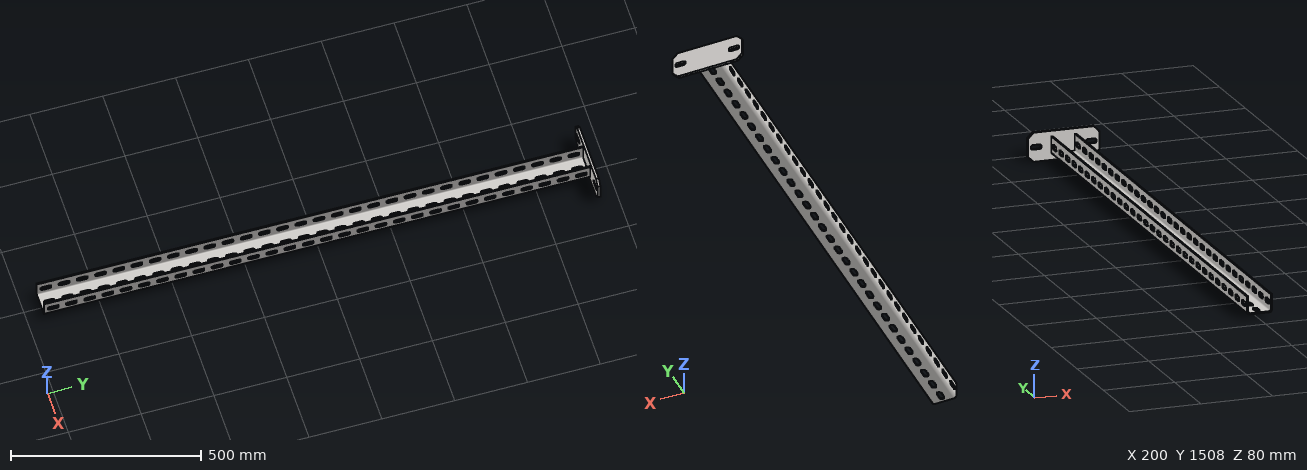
import cadquery as cq

plate_width = 200.0
plate_height = 80.0
plate_thickness = 8.0
plate_corner_cut = 15.0
plate_slot_spacing = 154.0

channel_length = 1500.0
channel_width = 70.0
channel_height = 50.0
wall = 4.0
inner_bend_radius = 4.0
outer_bend_radius = inner_bend_radius + wall

slot_length = 30.0
slot_width = 13.0
slot_pitch = 50.0
slot_count = int(channel_length / slot_pitch)

web_bottom = -channel_height / 2
slot_row = [
    (index + 0.5) * slot_pitch
    for index in range(slot_count)
]


def make_base_plate():
    """Plate with cut corners and two horizontal fixing slots, touching the channel end."""
    plate = (
        cq.Workplane("XZ", origin=(0, channel_length, 0))
        .rect(plate_width, plate_height)
        .extrude(-plate_thickness)
        .edges("|Y")
        .chamfer(plate_corner_cut)
    )
    fixing_slots = (
        cq.Workplane("XZ", origin=(0, channel_length, 0))
        .rarray(plate_slot_spacing, 1, 2, 1)
        .slot2D(slot_length, slot_width)
        .extrude(-plate_thickness)
    )
    return plate.cut(fixing_slots)


def make_channel_blank():
    """Bent U profile with rounded lower corners."""
    outside = (
        cq.Workplane("XZ")
        .rect(channel_width, channel_height)
        .extrude(-channel_length)
        .edges("|Y and <Z")
        .fillet(outer_bend_radius)
    )
    inside = (
        cq.Workplane("XZ", origin=(0, 0, wall))
        .rect(channel_width - 2 * wall, channel_height)
        .extrude(-channel_length)
        .edges("|Y and <Z")
        .fillet(inner_bend_radius)
    )
    return outside.cut(inside)


def make_web_slots():
    """Cutters through the web, lengthwise along the channel."""
    return (
        cq.Workplane("XY", origin=(0, 0, web_bottom))
        .pushPoints([(0, y) for y in slot_row])
        .slot2D(slot_length, slot_width, angle=90)
        .extrude(wall)
    )


def make_side_slots():
    """Cutters through both side walls, lengthwise along the channel."""
    return (
        cq.Workplane("YZ")
        .pushPoints([(y, 0) for y in slot_row])
        .slot2D(slot_length, slot_width)
        .extrude(channel_width / 2, both=True)
    )


base_plate = make_base_plate()
channel = make_channel_blank().cut(make_web_slots()).cut(make_side_slots())

result = cq.Compound.makeCompound([base_plate.val(), channel.val()])